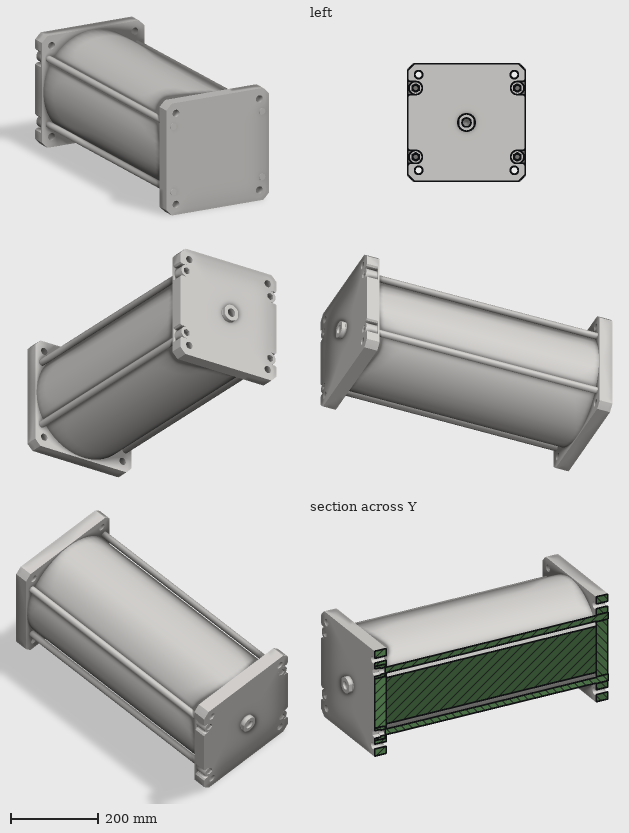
import cadquery as cq
import math

PLATE_SIDE = 270.0
PLATE_THICKNESS = 32.0
CORNER_RADIUS = 181.0
BARREL_LENGTH = 550.0
BARREL_DIAMETER = 262.5
REAR_PLATE_X = PLATE_THICKNESS + BARREL_LENGTH
REAR_FACE_X = REAR_PLATE_X + PLATE_THICKNESS

MOUNTING_HOLE_DIAMETER = 17.5
MOUNTING_HOLE_OFFSET = 110.0

TIE_ROD_DIAMETER = 16.0
TIE_ROD_Y = 117.0
TIE_ROD_Z = 79.0
TIE_ROD_END = 2.0
TIE_ROD_POSITIONS = [(y, z) for y in (-TIE_ROD_Y, TIE_ROD_Y) for z in (-TIE_ROD_Z, TIE_ROD_Z)]

HEAD_DIAMETER = 30.0
HEAD_LENGTH = 28.0
SLOT_CHAMFER = 4.0
SOCKET_ACROSS_FLATS = 16.0
SOCKET_DEPTH = 16.0
SOCKET_BORE_DIAMETER = 14.0

PISTON_ROD_DIAMETER = 39.5
PISTON_ROD_OVERHANG = 12.0
FLATS_WIDTH = 36.0
FLATS_LENGTH = 9.0
BORE_DIAMETER = 21.0
BORE_DEPTH = 28.0
DRILL_POINT_ANGLE = 118.0


def cylinder(diameter, start_x, end_x, y=0.0, z=0.0):
    """Solid cylinder along X between two X positions."""
    start = cq.Vector(start_x, y, z)
    return cq.Workplane(cq.Solid.makeCylinder(diameter / 2, end_x - start_x, start, cq.Vector(1, 0, 0)))


def make_plate(start_x):
    """Square plate with rounded corners, four mounting holes and four tie rod holes."""
    end_x = start_x + PLATE_THICKNESS
    plate = cq.Workplane("YZ", origin=(start_x, 0, 0)).rect(PLATE_SIDE, PLATE_SIDE)
    plate = plate.extrude(PLATE_THICKNESS)
    plate = plate.intersect(cylinder(2 * CORNER_RADIUS, start_x, end_x))
    for y in (-MOUNTING_HOLE_OFFSET, MOUNTING_HOLE_OFFSET):
        for z in (-MOUNTING_HOLE_OFFSET, MOUNTING_HOLE_OFFSET):
            plate = plate.cut(cylinder(MOUNTING_HOLE_DIAMETER, start_x, end_x, y, z))
    for y, z in TIE_ROD_POSITIONS:
        plate = plate.cut(cylinder(TIE_ROD_DIAMETER, start_x, end_x, y, z))
    return plate


def make_head_slot(y, z):
    """Cutter for one head: a round-ended slot open to the plate side, chamfered at its mouth."""
    side_y = math.copysign(PLATE_SIDE / 2, y)
    chamfer_y = side_y - math.copysign(SLOT_CHAMFER, y)
    half_slot = HEAD_DIAMETER / 2
    half_mouth = half_slot + SLOT_CHAMFER
    slot = (
        cq.Workplane("YZ")
        .moveTo(y, z - half_slot)
        .lineTo(chamfer_y, z - half_slot)
        .lineTo(side_y, z - half_mouth)
        .lineTo(side_y, z + half_mouth)
        .lineTo(chamfer_y, z + half_slot)
        .lineTo(y, z + half_slot)
        .close()
        .extrude(HEAD_LENGTH)
    )
    return slot.union(cylinder(HEAD_DIAMETER, 0, HEAD_LENGTH, y, z))


def make_front_plate():
    """Plate with a piston rod hole and a slot for each tie rod head."""
    plate = make_plate(0).cut(cylinder(PISTON_ROD_DIAMETER, 0, PLATE_THICKNESS))
    for y, z in TIE_ROD_POSITIONS:
        plate = plate.cut(make_head_slot(y, z))
    return plate


def make_tie_rod(y, z):
    """Rod through both plates, with a round head and a hexagon socket at the front."""
    rod = cylinder(TIE_ROD_DIAMETER, HEAD_LENGTH, REAR_FACE_X + TIE_ROD_END, y, z)
    rod = rod.union(cylinder(HEAD_DIAMETER, 0, HEAD_LENGTH, y, z))
    across_corners = SOCKET_ACROSS_FLATS / math.cos(math.pi / 6)
    socket = cq.Workplane("YZ", origin=(0, y, z)).polygon(6, across_corners).extrude(SOCKET_DEPTH)
    socket = socket.rotate((0, y, z), (1, y, z), 90)
    socket_bore = cylinder(SOCKET_BORE_DIAMETER, SOCKET_DEPTH, HEAD_LENGTH, y, z)
    return rod.cut(socket).cut(socket_bore)


def make_piston_rod():
    """Rod end with two wrench flats and a drilled hole with a conical bottom."""
    tip_x = -PISTON_ROD_OVERHANG
    rod = cylinder(PISTON_ROD_DIAMETER, tip_x, PLATE_THICKNESS)
    end = cylinder(PISTON_ROD_DIAMETER, tip_x, tip_x + FLATS_LENGTH)
    between_flats = cq.Workplane("YZ", origin=(tip_x, 0, 0)).rect(FLATS_WIDTH, PISTON_ROD_DIAMETER)
    rod = rod.cut(end.cut(between_flats.extrude(FLATS_LENGTH)))
    bore_end_x = tip_x + BORE_DEPTH
    point_length = BORE_DIAMETER / 2 / math.tan(math.radians(DRILL_POINT_ANGLE / 2))
    rod = rod.cut(cylinder(BORE_DIAMETER, tip_x, bore_end_x))
    point_base = cq.Vector(bore_end_x, 0, 0)
    point = cq.Solid.makeCone(BORE_DIAMETER / 2, 0, point_length, point_base, cq.Vector(1, 0, 0))
    return rod.cut(cq.Workplane(point))


front_plate = make_front_plate()
rear_plate = make_plate(REAR_PLATE_X)
barrel = cylinder(BARREL_DIAMETER, PLATE_THICKNESS, REAR_PLATE_X)
tie_rods = [make_tie_rod(y, z) for y, z in TIE_ROD_POSITIONS]
piston_rod = make_piston_rod()

result = cq.Compound.makeCompound(
    [
        front_plate.val(),
        rear_plate.val(),
        barrel.val(),
        *[tie_rod.val() for tie_rod in tie_rods],
        piston_rod.val(),
    ]
)